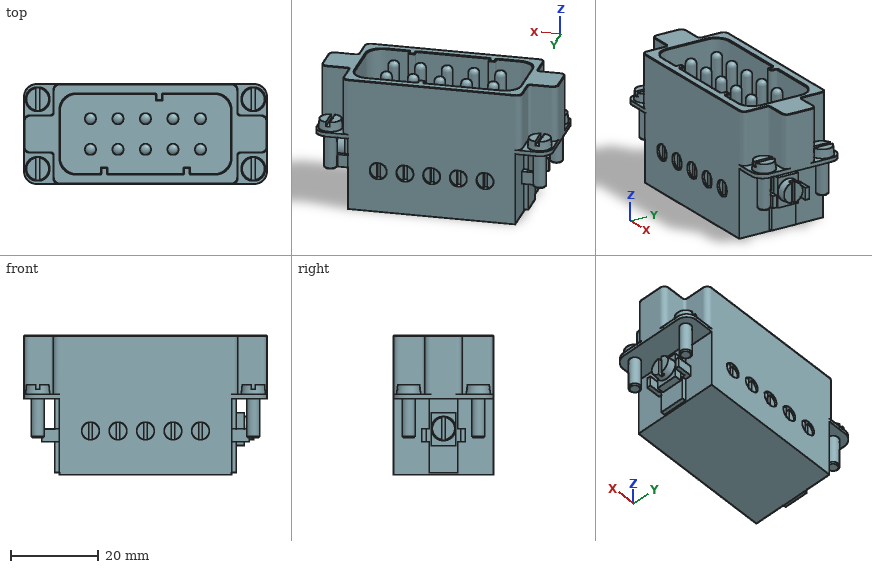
import cadquery as cq

FLANGE_LENGTH = 55.8
WIDTH = 23.0
HEIGHT = 32.0

BODY_LENGTH = 39.5
FLANGE_BOTTOM = 17.4
FLANGE_THICKNESS = 1.0
FLANGE_TOP = FLANGE_BOTTOM + FLANGE_THICKNESS
FLANGE_CORNER_RADIUS = 3.0

SHROUD_LENGTH = 42.3
TAB_WIDTH = 8.65
OUTER_CORNER_RADIUS = 1.4
INNER_CORNER_RADIUS = 0.65
RIM_CHAMFER = 0.15

CAVITY_LENGTH = 39.15
CAVITY_WIDTH = 18.3
CAVITY_FLOOR = 20.0
CAVITY_CORNER_RADIUS = 3.75
CAVITY_RIM_CHAMFER = 0.2
RIB_WIDTH = 1.6
RIB_DEPTH = 1.5
RIB_EDGE_RADIUS = 0.3
REAR_RIB_X = 3.1
FRONT_RIB_OFFSET = 9.5

PIN_PITCH = 6.3
PINS_PER_ROW = 5
PIN_ROW_Y = 3.5
PIN_RADIUS = 1.3
PIN_TIP_ROUND = 1.1
PIN_TOP = 31.45

CLAMP_Z = 10.05
CLAMP_HOLE_RADIUS = 2.0
CLAMP_HOLE_DEPTH = 0.5

SLOT_WIDTH = 0.9
SLOT_DEPTH = 1.0
HEAD_BASE_RADIUS = 2.8
HEAD_TOP_RADIUS = 2.55
HEAD_HEIGHT = 2.2
SHANK_RADIUS = 1.5
SHANK_LENGTH = 9.9
SHANK_CHAMFER = 0.35
SCREW_X = 24.7
SCREW_Y = 8.0

RIDGE_LENGTH = 41.6
RIDGE_WIDTH = 6.6
RIDGE_BOTTOM = 0.5
ARM_BOTTOM = 7.55
ARM_TOP = 10.55
ARM_LENGTH = 47.65
ARM_OUTER_Y = 4.95
ARM_THICKNESS = 1.0

EARTH_END_X = 22.65
EARTH_WIDTH = 5.6
EARTH_BOTTOM = 6.7
EARTH_TOP = 14.25
EARTH_SCREW_Z = 10.6


def block(length, width, bottom, top):
    """Box centred on the Z axis between two heights."""
    return (
        cq.Workplane("XY", origin=(0, 0, bottom))
        .rect(length, width)
        .extrude(top - bottom)
    )


def screw_head():
    """Tapered slotted head standing on Z = 0, slot along Y."""
    head = (
        cq.Workplane("XY")
        .circle(HEAD_BASE_RADIUS)
        .workplane(offset=HEAD_HEIGHT)
        .circle(HEAD_TOP_RADIUS)
        .loft()
    )
    slot = block(SLOT_WIDTH, 2 * HEAD_BASE_RADIUS, HEAD_HEIGHT - SLOT_DEPTH, HEAD_HEIGHT)
    return head.cut(slot)


def mounting_screw():
    """Screw with its head seated on Z = 0 and its shank hanging below."""
    shank = (
        cq.Workplane("XY")
        .circle(SHANK_RADIUS)
        .extrude(-SHANK_LENGTH)
        .faces("<Z")
        .chamfer(SHANK_CHAMFER)
    )
    return screw_head().union(shank)


def lower_body():
    """Terminal body and the rounded mounting flange on top of it."""
    flange = block(FLANGE_LENGTH, WIDTH, FLANGE_BOTTOM, FLANGE_TOP)
    flange = flange.edges("|Z").fillet(FLANGE_CORNER_RADIUS)
    return block(BODY_LENGTH, WIDTH, 0, FLANGE_TOP).union(flange)


def cavity():
    """Straight-sided pin cavity, notched by the rounded coding ribs."""
    pocket = block(CAVITY_LENGTH, CAVITY_WIDTH, CAVITY_FLOOR, HEIGHT)
    pocket = pocket.edges("|Z").fillet(CAVITY_CORNER_RADIUS)
    wall_y = CAVITY_WIDTH / 2
    rib_places = [
        (REAR_RIB_X, wall_y),
        (-FRONT_RIB_OFFSET, -wall_y),
        (FRONT_RIB_OFFSET, -wall_y),
    ]
    ribs = (
        cq.Workplane("XY", origin=(0, 0, CAVITY_FLOOR))
        .pushPoints(rib_places)
        .rect(RIB_WIDTH, 2 * RIB_DEPTH)
        .extrude(HEIGHT - CAVITY_FLOOR)
    )
    rib_zone = cq.selectors.BoxSelector(
        (-FRONT_RIB_OFFSET - RIB_WIDTH, -CAVITY_WIDTH, CAVITY_FLOOR),
        (FRONT_RIB_OFFSET + RIB_WIDTH, CAVITY_WIDTH, HEIGHT),
    )
    return pocket.cut(ribs).edges("|Z").edges(rib_zone).fillet(RIB_EDGE_RADIUS)


def shroud():
    """Plug shroud with end tabs, broken rim edges and the pin cavity."""
    box = block(SHROUD_LENGTH, WIDTH, FLANGE_TOP, HEIGHT)
    tabs = block(FLANGE_LENGTH, TAB_WIDTH, FLANGE_TOP, HEIGHT)
    inner_corners = cq.selectors.BoxSelector(
        (-FLANGE_LENGTH / 2 + OUTER_CORNER_RADIUS * 2, -TAB_WIDTH / 2 - RIM_CHAMFER, FLANGE_TOP),
        (FLANGE_LENGTH / 2 - OUTER_CORNER_RADIUS * 2, TAB_WIDTH / 2 + RIM_CHAMFER, HEIGHT),
    )
    outline = box.edges("|Z").fillet(OUTER_CORNER_RADIUS)
    outline = outline.union(tabs.edges("|Z").fillet(OUTER_CORNER_RADIUS))
    outline = outline.edges("|Z").edges(inner_corners).fillet(INNER_CORNER_RADIUS)
    outline = outline.faces(">Z").chamfer(RIM_CHAMFER)

    rim_edges = cq.selectors.BoxSelector(
        (-CAVITY_LENGTH / 2 - RIM_CHAMFER, -CAVITY_WIDTH / 2 - RIM_CHAMFER, HEIGHT - RIM_CHAMFER),
        (CAVITY_LENGTH / 2 + RIM_CHAMFER, CAVITY_WIDTH / 2 + RIM_CHAMFER, HEIGHT + RIM_CHAMFER),
    )
    hollow = outline.cut(cavity())
    return hollow.edges(rim_edges).chamfer(CAVITY_RIM_CHAMFER)


def end_ridges():
    """Central ridge and protruding latch arms, running through both ends."""
    ridges = block(RIDGE_LENGTH, RIDGE_WIDTH, RIDGE_BOTTOM, FLANGE_TOP)
    ridges = ridges.union(block(RIDGE_LENGTH, 2 * ARM_OUTER_Y, ARM_BOTTOM, ARM_TOP))
    arm = block(ARM_LENGTH, ARM_THICKNESS, ARM_BOTTOM, ARM_TOP)
    arm_y = ARM_OUTER_Y - ARM_THICKNESS / 2
    for side in (-1, 1):
        ridges = ridges.union(arm.translate((0, side * arm_y, 0)))
    return ridges


def earth_terminal():
    """Earth block on the +X end with a slotted screw head facing +X."""
    terminal = cq.Workplane("XY").box(
        EARTH_END_X, EARTH_WIDTH, EARTH_TOP - EARTH_BOTTOM, centered=(False, True, False)
    )
    terminal = terminal.translate((0, 0, EARTH_BOTTOM))
    head = screw_head().rotate((0, 0, 0), (1, 0, 0), 90)
    head = head.rotate((0, 0, 0), (0, 0, 1), 90)
    return terminal.union(head.translate((EARTH_END_X, 0, EARTH_SCREW_Z)))


def row_positions():
    """X places of the contacts in one row."""
    first = -PIN_PITCH * (PINS_PER_ROW - 1) / 2
    return [first + i * PIN_PITCH for i in range(PINS_PER_ROW)]


def contact_pin():
    """Round-nosed pin rooted at the flange top, below the cavity floor."""
    return (
        cq.Workplane("XY", origin=(0, 0, FLANGE_TOP))
        .circle(PIN_RADIUS)
        .extrude(PIN_TOP - FLANGE_TOP)
        .faces(">Z")
        .edges()
        .fillet(PIN_TIP_ROUND)
    )


def clamp_recess():
    """Round recess and deeper screwdriver slot in the -Y wall, at X = 0."""
    start = (0, -WIDTH / 2, CLAMP_Z)
    recess = cq.Workplane("XZ", origin=start).circle(CLAMP_HOLE_RADIUS)
    recess = recess.extrude(-CLAMP_HOLE_DEPTH)
    slot_depth = CLAMP_HOLE_DEPTH + SLOT_DEPTH
    slot = cq.Workplane("XZ", origin=start).circle(CLAMP_HOLE_RADIUS).extrude(-slot_depth)
    slot = slot.intersect(block(SLOT_WIDTH, WIDTH, 0, HEIGHT))
    return recess.union(slot)


result = lower_body().union(shroud()).union(end_ridges()).union(earth_terminal())

for x in row_positions():
    recess = clamp_recess().translate((x, 0, 0))
    result = result.cut(recess).cut(recess.mirror("XZ"))
    for y in (-PIN_ROW_Y, PIN_ROW_Y):
        result = result.union(contact_pin().translate((x, y, 0)))

for x in (-SCREW_X, SCREW_X):
    for y in (-SCREW_Y, SCREW_Y):
        result = result.union(mounting_screw().translate((x, y, FLANGE_TOP)))